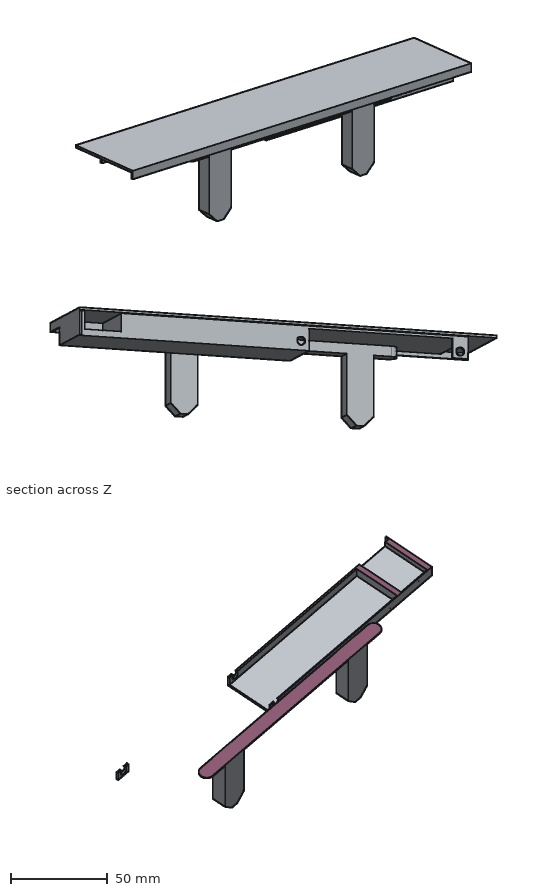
import cadquery as cq

length = 229.0
width = 46.0
height = 45.8
sheet = 1.4
end_wall = 1.0
lip_depth = 4.8

inset = 2.0
liner_front = 15.0
box_right = 31.5
box_right_wall = 0.7
box_front = 102.4
box_depth = 14.5

pocket_length = 20.2
pocket_margin = 3.5
pocket_back = length - pocket_margin
pocket_depth = box_depth - pocket_margin
pocket_front = pocket_back - pocket_length
cavity_back = pocket_front - pocket_margin

tab_length = 8.5
tab_depth = 13.0
hole_diameter = 4.4
hole_depth = 9.5
box_hole_setback = 4.4

rail_left = 32.7
rail_width = 8.5
rail_front = 42.1
rail_depth = 8.2
prong_width = 14.9
prong_inset = 13.7
prong_pitch = 96.6
prong_chamfer = 5.3
rail_length = prong_pitch + prong_width + 2 * prong_inset

liner_depth = 2 * sheet
box_back = length - end_wall


def block(x_range, y_range, depth_range):
    """Box between pairs of X and Y limits and depths below the top face."""
    size_x = x_range[1] - x_range[0]
    size_y = y_range[1] - y_range[0]
    size_z = depth_range[1] - depth_range[0]
    corner = (x_range[0], y_range[0], height - depth_range[1])
    return cq.Workplane("XY").box(size_x, size_y, size_z, centered=False).translate(corner)


def make_cover():
    """Plate with its right lip, back wall and inset liner."""
    plate = block((0, width), (0, length), (0, sheet))
    lip = block((width - sheet, width), (0, length), (0, lip_depth))
    back_lip = block((0, width), (box_back, length), (0, lip_depth))
    liner = block((inset, width - sheet), (liner_front, length), (sheet, liner_depth))
    return plate.union(lip).union(back_lip).union(liner)


def make_box():
    """Box hollow from the front, with a back wall reaching the plate edge."""
    shell = block((inset, box_right), (box_front, length), (sheet, box_depth))
    cavity = block(
        (inset + sheet, box_right - box_right_wall),
        (box_front, cavity_back),
        (liner_depth, box_depth - sheet),
    )
    back = block((0, box_right), (box_back, length), (0, box_depth))
    return shell.cut(cavity).union(back)


def make_tab():
    tab_y = (liner_front, liner_front + tab_length)
    return block((inset, inset + sheet), tab_y, (sheet, tab_depth))


def make_rail():
    """Rail with round ends, carrying two prongs with chamfered tips."""
    rail = block(
        (rail_left, rail_left + rail_width),
        (rail_front, rail_front + rail_length),
        (sheet, rail_depth),
    )
    end_radius = 0.499 * rail_width
    rail = rail.edges("|Z").fillet(end_radius)
    for index in range(2):
        prong_front = rail_front + prong_inset + index * prong_pitch
        prong = block(
            (rail_left, rail_left + rail_width),
            (prong_front, prong_front + prong_width),
            (sheet, height),
        )
        rail = rail.union(prong.faces("<Z").edges("|X").chamfer(prong_chamfer))
    return rail


def make_pin_hole(y):
    """Cylinder along X, long enough to pass through both box walls."""
    return (
        cq.Workplane("YZ")
        .center(y, height - hole_depth)
        .circle(hole_diameter / 2)
        .extrude(box_right)
    )


side_pocket = block(
    (inset, box_right - box_right_wall),
    (pocket_front, pocket_back),
    (sheet, pocket_depth),
)

result = make_cover().union(make_box()).union(make_tab()).cut(side_pocket)
for hole_y in (liner_front + tab_length / 2, box_front + box_hole_setback):
    result = result.cut(make_pin_hole(hole_y))
result = result.union(make_rail())